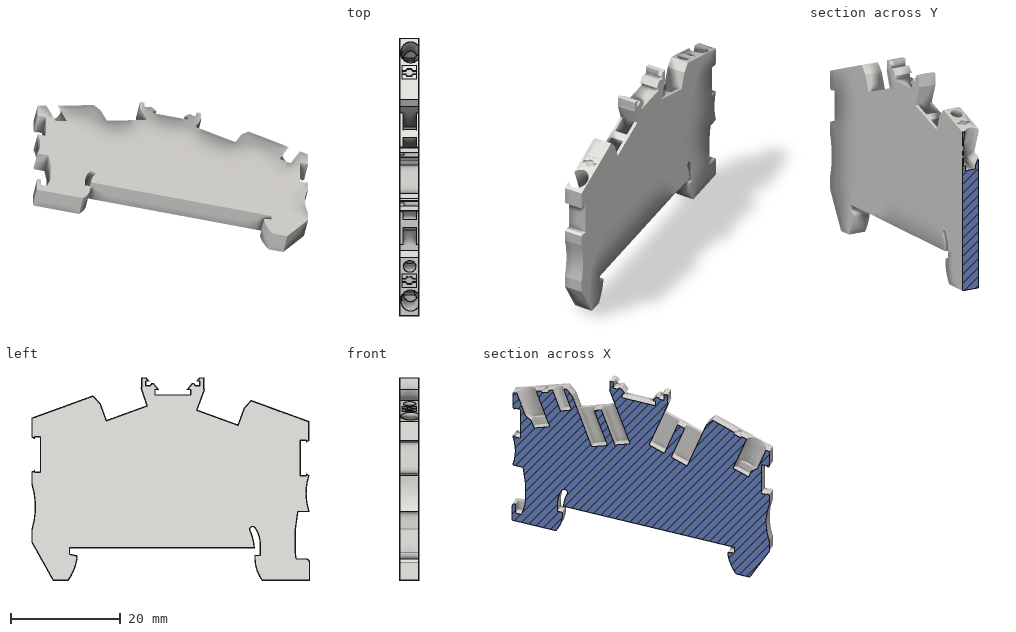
import cadquery as cq
import math

THICKNESS = 3.5
LENGTH = 50.7
HEIGHT = 36.99

SLOPE = 20.0
COS_SLOPE = math.cos(math.radians(SLOPE))
TAN_SLOPE = math.tan(math.radians(SLOPE))

NEAR_FACE_Y = 0.12
NEAR_EAVE_Z = 29.0
FAR_EAVE_Z = 29.62

NEAR_CREST_Y = 10.68
NEAR_SHOULDER_Z = 31.45
NEAR_VALLEY = (13.07, 28.36)
FAR_CREST_Y = 39.53
FAR_SHOULDER_Z = 32.2
FAR_VALLEY = (37.1, 29.17)

POST_CENTER_Y = 24.97
POST_HALF_WIDTH = 5.68
POST_LIP = 0.13
NEAR_POST_LIP_Z = 34.9
FAR_POST_LIP_Z = 35.15
NEAR_POST_ROOT_Y = 20.57
FAR_POST_ROOT_Y = 29.68
MARKER_FLOOR_Z = 33.89
MARKER_HALF_WIDTH = 3.23
BARB_TIP = (2.62, 34.82)
BARB_CREST_Z = 35.92
BARB_CREST_INNER = 3.52
BARB_CREST_OUTER = 3.86
GROOVE_INNER = 4.1
GROOVE_OUTER = 4.9
GROOVE_FLOOR_Z = 35.58
HOOK_Z = 36.37
HOOK_REACH = 0.52
HOOK_THICKNESS_X = 0.77

LABEL_DEPTH = 1.55
LABEL_HEIGHT = 6.43
NEAR_LABEL_Z = 19.16
FAR_LABEL_Z = 19.77
LABEL_LIP_INSET = 0.48
LABEL_LIP_RISE = 0.28

NEAR_GRIP_BOTTOM_Y = 0.08
NEAR_GRIP_BOTTOM_Z = 12.58
NEAR_GRIP_DEPTH = 0.5
FAR_GRIP_BOTTOM_Z = 9.3
FAR_GRIP_TOP_Z = 17.6
FAR_GRIP_DEPTH = 0.62

FOOT_TOP_Z = 3.96
FOOT_ROUND = 0.72
FOOT_INNER_Y = 8.62
FOOT_HOOK_Y = 9.98
FOOT_HOOK_Z = 4.6
FOOT_CURVE_MID = (9.57, 1.75)
FOOT_CURVE_TOP_Z = 3.8
LEG_TOP_Y = 2.14
LEG_WAIST_Y = 2.58
LEG_BEND = (2.54, 4.55)
LEG_BOTTOM_Y = 2.43
LEG_WAIST_TOP_Z = 9.4
LEG_WAIST_BOTTOM_Z = 5.1
TOOL_SLOT_WEB = 0.6
TOOL_SLOT_OUTER_Y = 0.78
TOOL_SLOT_INNER_Y = 1.87
TOOL_SLOT_FLOOR_Z = 1.9
SPRING_SLOT_Y = 9.03
SPRING_SLOT_BEND_Z = 6.8
SLOT_LEG_SIDE_MID = (9.3, 8.26)
SLOT_LEG_SIDE_END = (9.95, 9.6)
SLOT_TIP = (10.5, 9.83)
SLOT_BODY_SIDE_START = (10.9, 9.2)
SLOT_BODY_SIDE_MID = (10.38, 7.75)

RAIL_SEAT_Z = 5.96
RAIL_SEAT_NEAR_Y = 10.08
RAIL_SEAT_FAR_Y = 43.8
HOOK_FOOT_INNER_Y = 44.1
HOOK_FOOT_OUTER_Y = 46.8
HOOK_FOOT_CORNER_Z = 6.98
RAIL_HOOK_ROOT_Z = 4.8
RAIL_HOOK_TIP = (42.5, 4.5)
RAIL_HOOK_CURVE_TOP = (42.43, 4.05)
RAIL_HOOK_CURVE_MID = (43.0, 2.0)

POCKET_X = 0.58
POCKET_WIDTH = 2.45
POCKET_DEPTH = 7.7
VALLEY_POCKET_LENGTH = 3.25
POST_POCKET_LENGTH = 3.12

WIRE_X = 2.0
WIRE_WIDTH = 3.55
WIRE_LENGTH = 4.08
WIRE_NEAR_Y = 2.82
WIRE_FAR_Y = 48.13
WIRE_APEX_DEPTH = 4.95
WIRE_FLOOR_DIP = 38.0
WIRE_FLOOR_LENGTH = 0.85
WIRE_PIT_DEPTH = 1.5
WIRE_LEDGE_DEPTH = 6.2
WIRE_NECK_START_X = 0.8
WIRE_NECK_END_X = 2.73
WIRE_FLANK_TOP_DEPTH = 4.5
WIRE_FLANK_BOTTOM_DEPTH = 6.5

PLATE_X = 1.75
PLATE_WIDTH = 2.6
PLATE_LENGTH = 2.6
PLATE_DEPTH = 0.05
PLATE_OFFSET = 3.86
CHANNEL_WIDTH = 0.65
CHANNEL_BULGE = 1.45
CHANNEL_BULGE_BASE = 1.3
CHANNEL_BULGE_TOP = 0.7
CHANNEL_DEPTH = 0.4

TEST_X = 1.83
TEST_Y = 9.05
TEST_DIAMETER = 2.25
TEST_DEPTH = 4.6


def near_roof_z(y):
    return NEAR_EAVE_Z + (y - NEAR_FACE_Y) * TAN_SLOPE


def far_roof_z(y):
    return FAR_EAVE_Z + (LENGTH - y) * TAN_SLOPE


def post_notch(side):
    """Marker notch points from the post top down to the notch floor, on one side of the post."""
    offsets = [
        (GROOVE_OUTER, HEIGHT),
        (GROOVE_OUTER - HOOK_REACH, HOOK_Z),
        (GROOVE_OUTER, HOOK_Z),
        (GROOVE_OUTER, GROOVE_FLOOR_Z),
        (GROOVE_INNER, GROOVE_FLOOR_Z),
        (BARB_CREST_OUTER, BARB_CREST_Z),
        (BARB_CREST_INNER, BARB_CREST_Z),
        BARB_TIP,
        (MARKER_HALF_WIDTH, BARB_TIP[1]),
        (MARKER_HALF_WIDTH, MARKER_FLOOR_Z),
    ]
    return [(POST_CENTER_Y + side * offset, z) for offset, z in offsets]


def label_recess(face_y, inward, bottom_z):
    """Recess points from top to bottom, with a small lip at each mouth corner."""
    top_z = bottom_z + LABEL_HEIGHT
    lip_y = face_y + inward * LABEL_LIP_INSET
    back_y = face_y + inward * LABEL_DEPTH
    return [
        (face_y, top_z),
        (lip_y, top_z - LABEL_LIP_RISE),
        (lip_y, top_z),
        (back_y, top_z),
        (back_y, bottom_z),
        (lip_y, bottom_z),
        (lip_y, bottom_z + LABEL_LIP_RISE),
        (face_y, bottom_z),
    ]


def roof_outline():
    """Outline points over the top, from the far label recess to the near one."""
    far_post_y = POST_CENTER_Y + POST_HALF_WIDTH
    near_post_y = POST_CENTER_Y - POST_HALF_WIDTH
    far_shoulder_y = FAR_VALLEY[0] + (FAR_SHOULDER_Z - FAR_VALLEY[1]) * TAN_SLOPE
    near_shoulder_y = NEAR_VALLEY[0] - (NEAR_SHOULDER_Z - NEAR_VALLEY[1]) * TAN_SLOPE
    far_root_z = FAR_VALLEY[1] + (FAR_VALLEY[0] - FAR_POST_ROOT_Y) * TAN_SLOPE
    near_root_z = NEAR_VALLEY[1] + (NEAR_POST_ROOT_Y - NEAR_VALLEY[0]) * TAN_SLOPE
    return [
        *reversed(label_recess(LENGTH, -1, FAR_LABEL_Z)),
        (LENGTH, FAR_EAVE_Z),
        (FAR_CREST_Y, far_roof_z(FAR_CREST_Y)),
        (far_shoulder_y, FAR_SHOULDER_Z),
        FAR_VALLEY,
        (FAR_POST_ROOT_Y, far_root_z),
        (far_post_y + POST_LIP, FAR_POST_LIP_Z),
        (far_post_y, FAR_POST_LIP_Z),
        (far_post_y, HEIGHT),
        *post_notch(1),
        *reversed(post_notch(-1)),
        (near_post_y, HEIGHT),
        (near_post_y, NEAR_POST_LIP_Z),
        (near_post_y - POST_LIP, NEAR_POST_LIP_Z),
        (NEAR_POST_ROOT_Y, near_root_z),
        NEAR_VALLEY,
        (near_shoulder_y, NEAR_SHOULDER_Z),
        (NEAR_CREST_Y, near_roof_z(NEAR_CREST_Y)),
        (NEAR_FACE_Y, NEAR_EAVE_Z),
        *label_recess(NEAR_FACE_Y, 1, NEAR_LABEL_Z),
    ]


def make_body():
    roof = roof_outline()
    near_grip_mid = (NEAR_FACE_Y + NEAR_GRIP_DEPTH, (NEAR_LABEL_Z + NEAR_GRIP_BOTTOM_Z) / 2)
    far_grip_mid = (LENGTH - FAR_GRIP_DEPTH, (FAR_GRIP_BOTTOM_Z + FAR_GRIP_TOP_Z) / 2)
    round_mid = FOOT_ROUND * (1 - math.sqrt(0.5))
    outline = cq.Workplane("YZ").moveTo(*roof[0])
    for point in roof[1:]:
        outline = outline.lineTo(*point)
    outline = (
        outline
        .threePointArc(near_grip_mid, (NEAR_GRIP_BOTTOM_Y, NEAR_GRIP_BOTTOM_Z))
        .lineTo(LEG_TOP_Y, NEAR_GRIP_BOTTOM_Z)
        .lineTo(LEG_WAIST_Y, LEG_WAIST_TOP_Z)
        .lineTo(LEG_WAIST_Y, LEG_WAIST_BOTTOM_Z)
        .threePointArc(LEG_BEND, (LEG_BOTTOM_Y, FOOT_TOP_Z))
        .lineTo(FOOT_ROUND, FOOT_TOP_Z)
        .threePointArc((round_mid, FOOT_TOP_Z - round_mid), (0, FOOT_TOP_Z - FOOT_ROUND))
        .lineTo(0, 0)
        .lineTo(FOOT_INNER_Y, 0)
        .threePointArc(FOOT_CURVE_MID, (FOOT_HOOK_Y, FOOT_CURVE_TOP_Z))
        .lineTo(FOOT_HOOK_Y, FOOT_HOOK_Z)
        .lineTo(SPRING_SLOT_Y, FOOT_HOOK_Z)
        .lineTo(SPRING_SLOT_Y, SPRING_SLOT_BEND_Z)
    )
    outline = (
        outline
        .threePointArc(SLOT_LEG_SIDE_MID, SLOT_LEG_SIDE_END)
        .threePointArc(SLOT_TIP, SLOT_BODY_SIDE_START)
        .threePointArc(SLOT_BODY_SIDE_MID, (RAIL_SEAT_NEAR_Y, RAIL_SEAT_Z))
        .lineTo(RAIL_SEAT_FAR_Y, RAIL_SEAT_Z)
    )
    outline = (
        outline
        .lineTo(RAIL_SEAT_FAR_Y, RAIL_HOOK_ROOT_Z)
        .lineTo(*RAIL_HOOK_TIP)
        .lineTo(*RAIL_HOOK_CURVE_TOP)
        .threePointArc(RAIL_HOOK_CURVE_MID, (HOOK_FOOT_INNER_Y, 0))
        .lineTo(HOOK_FOOT_OUTER_Y, 0)
        .lineTo(LENGTH, HOOK_FOOT_CORNER_Z)
        .lineTo(LENGTH, FAR_GRIP_BOTTOM_Z)
        .threePointArc(far_grip_mid, (LENGTH, FAR_GRIP_TOP_Z))
        .close()
    )
    return outline.extrude(THICKNESS)


def tool_slot():
    """Screwdriver slot in the rail foot, open at the far broad face, behind the rounded lip."""
    profile = [
        (TOOL_SLOT_OUTER_Y, FOOT_TOP_Z),
        (LEG_BOTTOM_Y, FOOT_TOP_Z),
        (TOOL_SLOT_INNER_Y, TOOL_SLOT_FLOOR_Z),
        (TOOL_SLOT_OUTER_Y, TOOL_SLOT_FLOOR_Z),
    ]
    return (
        cq.Workplane("YZ", origin=(TOOL_SLOT_WEB, 0, 0))
        .polyline(profile).close().extrude(THICKNESS - TOOL_SLOT_WEB)
    )


def hook_relief(side):
    """Clears the upper post hook everywhere except next to the X = 0 face."""
    start = POST_CENTER_Y + side * GROOVE_OUTER
    end = start - side * HOOK_REACH
    return (
        cq.Workplane("YZ", origin=(HOOK_THICKNESS_X, 0, 0))
        .polyline([(start, HEIGHT), (end, HEIGHT), (end, HOOK_Z), (start, HOOK_Z)])
        .close()
        .extrude(THICKNESS - HOOK_THICKNESS_X)
    )


def on_roof(cutter, y, z, outward):
    """Tilts a cutter made about Z, with +Y as its outer side, and sets it on a roof face."""
    cutter = cutter.rotate((0, 0, 0), (1, 0, 0), -SLOPE)
    if outward < 0:
        cutter = cutter.mirror("XZ")
    return cutter.translate((0, y, z))


def roof_pocket(length, outer_end):
    """Rectangular pocket, square to the roof face, reaching inwards from outer_end."""
    box = cq.Workplane("XY").box(POCKET_WIDTH, length, POCKET_DEPTH, centered=False)
    return box.translate((POCKET_X, outer_end - length, -POCKET_DEPTH))


def wire_entry():
    """Oval shaft whose floor dips inwards, narrows and drops into a pit at its inner end."""
    half_length = WIRE_LENGTH / 2
    floor_end_y = half_length - WIRE_FLOOR_LENGTH
    floor_end_z = -WIRE_APEX_DEPTH - WIRE_FLOOR_LENGTH * math.tan(math.radians(SLOPE + WIRE_FLOOR_DIP))
    pit_z = floor_end_z - WIRE_PIT_DEPTH
    shaft = (
        cq.Workplane("XY").center(WIRE_X, 0)
        .ellipse(WIRE_WIDTH / 2, half_length).extrude(pit_z)
    )
    lengthwise = [
        (half_length, 0),
        (half_length, -WIRE_APEX_DEPTH),
        (floor_end_y, floor_end_z),
        (floor_end_y, pit_z),
        (-half_length, pit_z),
        (-half_length, 0),
    ]
    shaft_end_x = WIRE_X + WIRE_WIDTH / 2
    crosswise = [
        (0, 0),
        (0, -WIRE_LEDGE_DEPTH),
        (WIRE_NECK_START_X, -WIRE_LEDGE_DEPTH),
        (WIRE_NECK_START_X, pit_z),
        (WIRE_NECK_END_X, pit_z),
        (WIRE_NECK_END_X, -WIRE_FLANK_BOTTOM_DEPTH),
        (shaft_end_x, -WIRE_FLANK_TOP_DEPTH),
        (shaft_end_x, 0),
    ]
    side_limit = cq.Workplane("YZ").polyline(lengthwise).close().extrude(shaft_end_x)
    end_limit = cq.Workplane("XZ").polyline(crosswise).close().extrude(half_length, both=True)
    return shaft.intersect(side_limit).intersect(end_limit)


def symbol_plate():
    """Shallow square recess crossed by a deeper channel with a hexagonal middle."""
    plate = cq.Workplane("XY").rect(PLATE_WIDTH, PLATE_LENGTH).extrude(-PLATE_DEPTH)
    straight = cq.Workplane("XY").rect(PLATE_WIDTH, CHANNEL_WIDTH).extrude(-CHANNEL_DEPTH)
    base = CHANNEL_BULGE_BASE / 2
    top = CHANNEL_BULGE_TOP / 2
    rise = CHANNEL_BULGE / 2
    edge = CHANNEL_WIDTH / 2
    hexagon = [
        (base, edge), (top, rise), (-top, rise), (-base, edge),
        (-base, -edge), (-top, -rise), (top, -rise), (base, -edge),
    ]
    bulge = cq.Workplane("XY").polyline(hexagon).close().extrude(-CHANNEL_DEPTH)
    return plate.union(straight).union(bulge).translate((PLATE_X, -PLATE_OFFSET, 0))


def test_hole():
    return cq.Workplane("XY").center(TEST_X, 0).circle(TEST_DIAMETER / 2).extrude(-TEST_DEPTH)


result = make_body().cut(tool_slot())
for side in (-1, 1):
    result = result.cut(hook_relief(side))

post_distance_far = (FAR_VALLEY[0] - FAR_POST_ROOT_Y) / COS_SLOPE
post_distance_near = (NEAR_POST_ROOT_Y - NEAR_VALLEY[0]) / COS_SLOPE
for valley, post_distance, outward in (
    (FAR_VALLEY, post_distance_far, 1),
    (NEAR_VALLEY, post_distance_near, -1),
):
    result = result.cut(on_roof(roof_pocket(VALLEY_POCKET_LENGTH, 0), *valley, outward))
    post_pocket = roof_pocket(POST_POCKET_LENGTH, POST_POCKET_LENGTH - post_distance)
    result = result.cut(on_roof(post_pocket, *valley, outward))

for wire_y, roof_z, outward in (
    (WIRE_FAR_Y, far_roof_z(WIRE_FAR_Y), 1),
    (WIRE_NEAR_Y, near_roof_z(WIRE_NEAR_Y), -1),
):
    result = result.cut(on_roof(wire_entry(), wire_y, roof_z, outward))
    result = result.cut(on_roof(symbol_plate(), wire_y, roof_z, outward))

result = result.cut(on_roof(test_hole(), TEST_Y, near_roof_z(TEST_Y), -1))